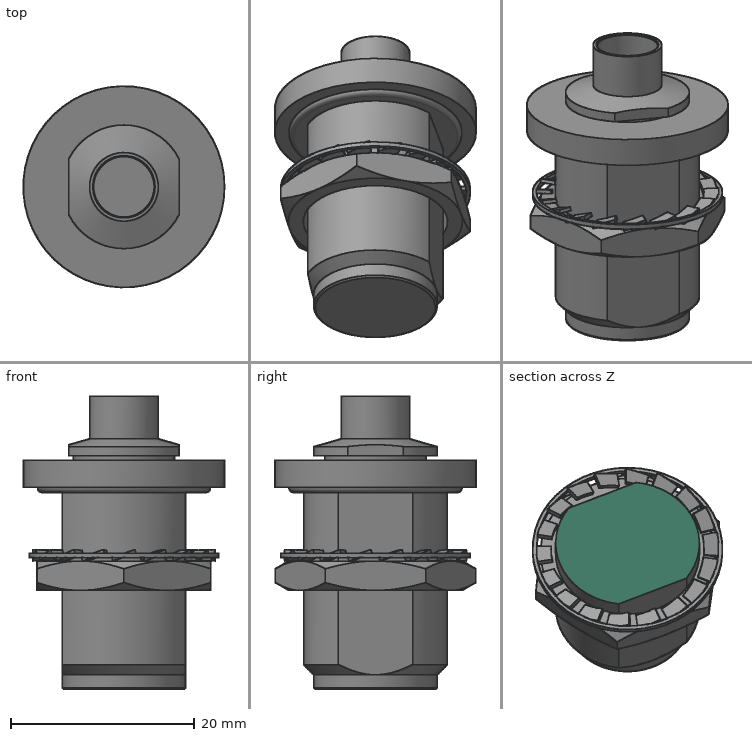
import cadquery as cq
import math

TOTAL_HEIGHT = 32.02
COLLAR_TOP = 1.6
TUBE_HEIGHT = 4.65
FLANGE_BOTTOM = 22.05
FLANGE_THICKNESS = 3.0
FLANGE_TOP = FLANGE_BOTTOM + FLANGE_THICKNESS
SEAT_HEIGHT = 0.55
GROOVE_HEIGHT = 0.45
CONE_TOP = TOTAL_HEIGHT - TUBE_HEIGHT

SHANK_RADIUS = 7.87
FLANGE_RADIUS = 11.0
SEAT_RADIUS = 9.45
SEAT_FILLET = 0.5
GROOVE_RADIUS = 5.55
CAP_RADIUS = 6.75
CONE_SLOPE = 16.0
CAP_HALF_WIDTH = 6.03
TUBE_RADIUS = 3.75
BORE_RADIUS = 3.3
MOUTH_CHAMFER = 0.1
END_CHAMFER = 0.2

SHANK_HALF_WIDTH = 6.75
COLLAR_RADIUS = SHANK_HALF_WIDTH

NUT_HEIGHT = 3.2
NUT_BOTTOM = 10.82
NUT_TOP = NUT_BOTTOM + NUT_HEIGHT
NUT_ACROSS_FLATS = 19.0
NUT_CHAMFER_ANGLE = 30.0

WASHER_HEIGHT = 1.25
WASHER_RADIUS = 10.37
WASHER_RIM_INNER_RADIUS = 9.92
RIM_THICKNESS = 0.5
WASHER_MIDDLE = NUT_TOP + WASHER_HEIGHT / 2
TOOTH_COUNT = 18
TOOTH_TWIST = 18.5
TOOTH_THICKNESS = 0.42
TOOTH_INNER_RADIUS = 8.35
TOOTH_OUTER_RADIUS = 9.97


def disc(radius, bottom, top):
    return cq.Workplane("XY").workplane(offset=bottom).circle(radius).extrude(top - bottom)


def slab(half_width, bottom, top):
    """A block centred on the axis that limits a round shape to two flats facing -X and +X."""
    length = 2 * FLANGE_RADIUS
    block = cq.Workplane("XY").workplane(offset=bottom).rect(2 * half_width, length)
    return block.extrude(top - bottom)


def make_shank():
    """Threaded shank with two flats, tapering at 45 degrees onto a round collar."""
    taper_top = COLLAR_TOP + SHANK_RADIUS - COLLAR_RADIUS
    profile = [
        (0, 0),
        (COLLAR_RADIUS - END_CHAMFER, 0),
        (COLLAR_RADIUS, END_CHAMFER),
        (COLLAR_RADIUS, COLLAR_TOP),
        (SHANK_RADIUS, taper_top),
        (SHANK_RADIUS, FLANGE_BOTTOM),
        (0, FLANGE_BOTTOM),
    ]
    shank = cq.Workplane("XZ").polyline(profile).close().revolve(360, (0, 0), (0, 1))
    return shank.intersect(slab(SHANK_HALF_WIDTH, 0, FLANGE_BOTTOM))


def make_flange():
    """Flange with a shallow rounded seat under it."""
    seat = disc(SEAT_RADIUS, FLANGE_BOTTOM - SEAT_HEIGHT, FLANGE_BOTTOM)
    seat = seat.faces("<Z").edges().fillet(SEAT_FILLET)
    return disc(FLANGE_RADIUS, FLANGE_BOTTOM, FLANGE_TOP).union(seat)


def make_cap():
    """Grooved cap with a conical top and two flats."""
    cap_bottom = FLANGE_TOP + GROOVE_HEIGHT
    cone_drop = (CAP_RADIUS - TUBE_RADIUS) * math.tan(math.radians(CONE_SLOPE))
    profile = [
        (0, FLANGE_TOP),
        (GROOVE_RADIUS, FLANGE_TOP),
        (GROOVE_RADIUS, cap_bottom),
        (CAP_RADIUS, cap_bottom),
        (CAP_RADIUS, CONE_TOP - cone_drop),
        (TUBE_RADIUS, CONE_TOP),
        (0, CONE_TOP),
    ]
    cap = cq.Workplane("XZ").polyline(profile).close().revolve(360, (0, 0), (0, 1))
    return cap.intersect(slab(CAP_HALF_WIDTH, FLANGE_TOP, CONE_TOP))


def make_bore():
    """Blind bore of the tube, reaching down to the flange, with a chamfered mouth."""
    profile = [
        (0, FLANGE_TOP),
        (BORE_RADIUS, FLANGE_TOP),
        (BORE_RADIUS, TOTAL_HEIGHT - MOUTH_CHAMFER),
        (BORE_RADIUS + MOUTH_CHAMFER, TOTAL_HEIGHT),
        (0, TOTAL_HEIGHT),
    ]
    return cq.Workplane("XZ").polyline(profile).close().revolve(360, (0, 0), (0, 1))


def make_nut():
    """Hexagon nut with corners on the Y axis, chamfered at both ends."""
    flat_radius = NUT_ACROSS_FLATS / 2
    corner_radius = flat_radius / math.cos(math.pi / 6)
    corner_drop = (corner_radius - flat_radius) * math.tan(math.radians(NUT_CHAMFER_ANGLE))
    hexagon = cq.Workplane("XY").workplane(offset=NUT_BOTTOM).polygon(6, 2 * corner_radius)
    hexagon = hexagon.extrude(NUT_HEIGHT).rotate((0, 0, 0), (0, 0, 1), 30)
    profile = [
        (0, NUT_BOTTOM),
        (flat_radius, NUT_BOTTOM),
        (corner_radius, NUT_BOTTOM + corner_drop),
        (corner_radius, NUT_TOP - corner_drop),
        (flat_radius, NUT_TOP),
        (0, NUT_TOP),
    ]
    envelope = cq.Workplane("XZ").polyline(profile).close().revolve(360, (0, 0), (0, 1))
    return hexagon.intersect(envelope).cut(disc(SHANK_RADIUS, NUT_BOTTOM, NUT_TOP))


def make_connector():
    """Connector in one piece with its nut."""
    tube = disc(TUBE_RADIUS, CONE_TOP, TOTAL_HEIGHT)
    connector = make_shank().union(make_flange()).union(make_cap()).union(tube)
    return connector.cut(make_bore()).union(make_nut())


def make_washer():
    """Flat rim with teeth pointing inwards, each twisted about its own radial axis."""
    half_thickness = RIM_THICKNESS / 2
    twist = math.radians(TOOTH_TWIST)
    half_width = (WASHER_HEIGHT - TOOTH_THICKNESS * math.cos(twist)) / (2 * math.sin(twist))
    washer = disc(WASHER_RADIUS, WASHER_MIDDLE - half_thickness, WASHER_MIDDLE + half_thickness)
    washer = washer.cut(disc(WASHER_RIM_INNER_RADIUS, NUT_TOP, NUT_TOP + WASHER_HEIGHT))
    corners = [(0, 0), (TOOTH_OUTER_RADIUS, -half_width), (TOOTH_OUTER_RADIUS, half_width)]
    tooth = cq.Workplane("XY").polyline(corners).close().extrude(TOOTH_THICKNESS / 2, both=True)
    tooth = tooth.rotate((0, 0, 0), (1, 0, 0), TOOTH_TWIST).translate((0, 0, WASHER_MIDDLE))
    tooth_zone = disc(TOOTH_OUTER_RADIUS, NUT_TOP, NUT_TOP + WASHER_HEIGHT)
    tooth_zone = tooth_zone.cut(disc(TOOTH_INNER_RADIUS, NUT_TOP, NUT_TOP + WASHER_HEIGHT))
    tooth = tooth.intersect(tooth_zone)
    for index in range(TOOTH_COUNT):
        angle = -90 + index * 360 / TOOTH_COUNT
        washer = washer.union(tooth.rotate((0, 0, 0), (0, 0, 1), angle))
    return washer


connector = make_connector()
washer = make_washer()
result = cq.Compound.makeCompound([connector.val(), washer.val()])